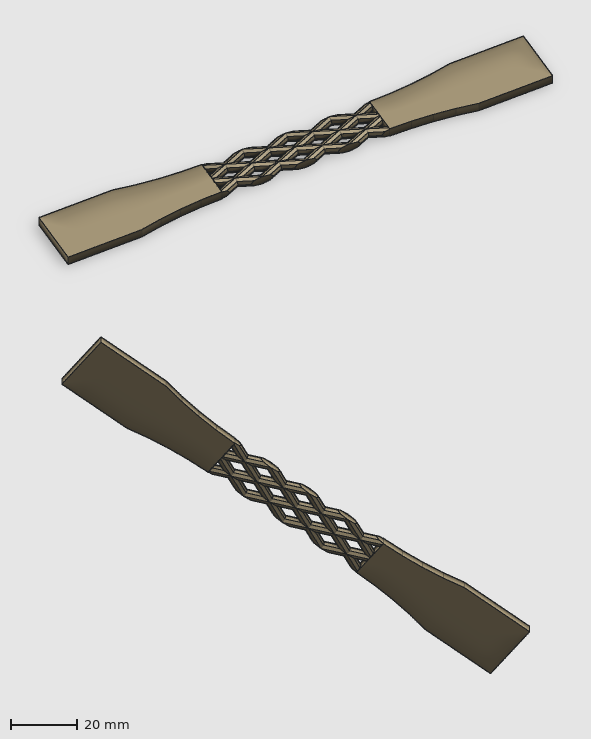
import cadquery as cq
import math

bar_length = 165.0
grip_width = 19.0
thickness = 3.1
gauge_width = 13.0
grip_length = 25.0
shoulder_facets = 4

lattice_length = 57.1
cell_length = 14.8
cells_across = 2
cell_width = gauge_width / cells_across

strand_sides = 8
strand_diameter = thickness
strand_angle = math.degrees(math.atan2(cell_width, cell_length))


def shoulder_points():
    """Points of the +X shoulder, from the lattice to the grip, on an arc tangent to the gauge edge."""
    y_lattice = lattice_length / 2
    length = bar_length / 2 - grip_length - y_lattice
    rise = (grip_width - gauge_width) / 2
    radius = (length**2 + rise**2) / (2 * rise)
    sweep = math.asin(length / radius)
    points = []
    for index in range(shoulder_facets + 1):
        angle = sweep * index / shoulder_facets
        x = gauge_width / 2 + radius * (1 - math.cos(angle))
        y = y_lattice + radius * math.sin(angle)
        points.append((x, y))
    return points


def make_end():
    """Grip and faceted shoulders at the +Y end."""
    right_side = shoulder_points() + [(grip_width / 2, bar_length / 2)]
    left_side = [(-x, y) for x, y in reversed(right_side)]
    return cq.Workplane("XY").polyline(right_side + left_side).close().extrude(thickness)


def make_strand(x_crossing, lean):
    """Straight strand through (x_crossing, 0), leaning towards +X (lean = 1) or -X (lean = -1)."""
    return (
        cq.Workplane("XZ")
        .center(0, thickness / 2)
        .polygon(strand_sides, strand_diameter)
        .extrude(bar_length / 2, both=True)
        .rotate((0, 0, 0), (0, 0, 1), -lean * strand_angle)
        .translate((x_crossing, 0, 0))
    )


def make_lattice():
    """Two families of crossing strands, trimmed to the gauge width and the lattice length."""
    reach = math.ceil(lattice_length / 2 / cell_length) + cells_across // 2
    strands = cq.Workplane("XY")
    for index in range(-reach, reach + 1):
        for lean in (-1, 1):
            strands.add(make_strand(index * cell_width, lean))
    envelope = cq.Workplane("XY").box(gauge_width, lattice_length, thickness, centered=(True, True, False))
    return strands.combine().intersect(envelope)


end = make_end()
result = make_lattice().union(end).union(end.mirror("XZ"))